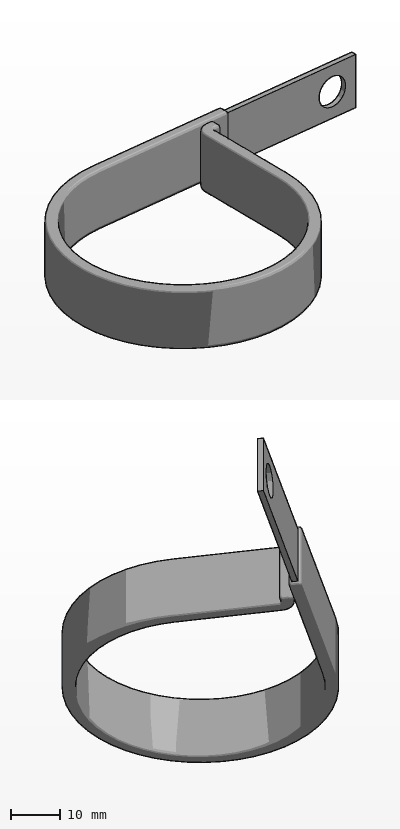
import cadquery as cq
import math

strap_thickness = 1.25
strap_width = 12.7
tab_end_y = 69.85
hole_diameter = 7.14
hole_edge_distance = 6.35

cushion_wall = 0.76
loop_inner_radius = 25.4
sleeve_end_y = 34.925
cushion_thickness = strap_thickness + 2 * cushion_wall
cushion_width = strap_width + 2 * cushion_wall
loop_outer_radius = loop_inner_radius + cushion_thickness
loop_middle_radius = loop_inner_radius + cushion_thickness / 2

lip_inner_radius = 0.25
lip_outer_radius = lip_inner_radius + cushion_thickness
lip_gap = 0.1
lip_end_y = 30.2
lip_outer_x = -loop_inner_radius + lip_gap
lip_inner_x = lip_outer_x + cushion_thickness
lip_middle_x = (lip_outer_x + lip_inner_x) / 2
bend_x = lip_outer_x + lip_outer_radius
bend_y = loop_inner_radius + lip_outer_radius

diagonal = math.sqrt(0.5)


def loop_arc_middle(radius):
    """Midpoint of the three-quarter loop arc of the given radius."""
    offset = radius * diagonal
    return (offset, -offset)


def lip_arc_middle(radius):
    """Midpoint of the quarter-circle lip bend of the given radius."""
    offset = radius * diagonal
    return (bend_x - offset, bend_y - offset)


def make_cushion():
    """Constant-thickness band: sleeve, three-quarter loop, straight arm and lip."""
    outline = (
        cq.Workplane("XY", origin=(0, 0, -cushion_width / 2))
        .moveTo(-loop_outer_radius, sleeve_end_y)
        .lineTo(-loop_outer_radius, 0)
        .threePointArc(loop_arc_middle(loop_outer_radius), (0, loop_outer_radius))
        .lineTo(bend_x, loop_outer_radius)
        .threePointArc(lip_arc_middle(lip_inner_radius), (lip_inner_x, bend_y))
        .lineTo(lip_inner_x, lip_end_y)
        .lineTo(lip_outer_x, lip_end_y)
        .lineTo(lip_outer_x, bend_y)
        .threePointArc(lip_arc_middle(lip_outer_radius), (bend_x, loop_inner_radius))
        .lineTo(0, loop_inner_radius)
        .threePointArc(loop_arc_middle(loop_inner_radius), (-loop_inner_radius, 0))
        .lineTo(-loop_inner_radius, sleeve_end_y)
        .close()
    )
    band = outline.extrude(cushion_width)
    rim_edges = band.faces("<Z or >Z").edges()
    sleeve_end_edges = band.faces(">Y").edges("|Z")
    lip_end_point = cq.selectors.NearestToPointSelector((lip_middle_x, lip_end_y, 0))
    lip_end_edges = band.faces(lip_end_point).edges("|Z")
    return rim_edges.add(sleeve_end_edges).add(lip_end_edges).fillet(cushion_wall)


def make_tab():
    """Bare strap that leaves the sleeve, with its mounting hole."""
    start_y = sleeve_end_y - cushion_thickness
    tab = (
        cq.Workplane("XY", origin=(-loop_middle_radius, start_y, 0))
        .box(strap_thickness, tab_end_y - start_y, strap_width, centered=(True, False, True))
    )
    hole = (
        cq.Workplane("YZ", origin=(-loop_middle_radius, 0, 0))
        .center(tab_end_y - hole_edge_distance, 0)
        .circle(hole_diameter / 2)
        .extrude(strap_thickness, both=True)
    )
    return tab.cut(hole)


result = make_cushion().union(make_tab())